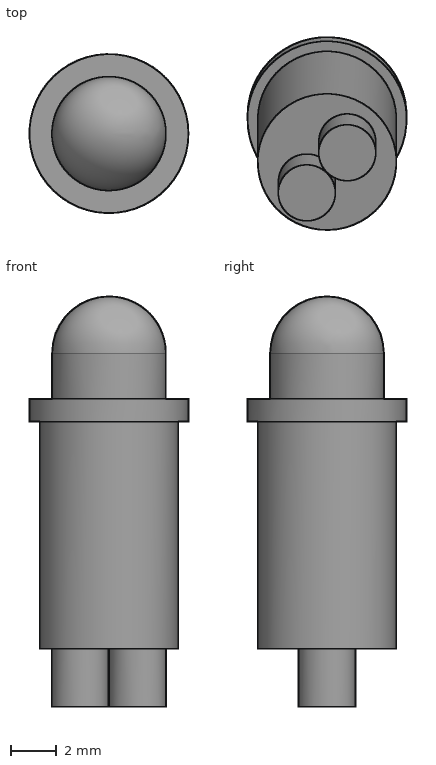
import cadquery as cq

total_height = 18.05
pin_length = 2.55
barrel_length = 10.0
flange_thickness = 1.0

barrel_diameter = 6.1
flange_diameter = 7.0
plunger_diameter = 5.02
pin_diameter = 2.5

pin_spacing = 2.53

barrel_bottom = pin_length
flange_bottom = barrel_bottom + barrel_length
flange_top = flange_bottom + flange_thickness
dome_radius = plunger_diameter / 2
dome_base = total_height - dome_radius


def upright_cylinder(diameter, bottom, top, x=0.0):
    """Vertical cylinder between two levels, centred at the given X."""
    return cq.Workplane("XY", origin=(x, 0, bottom)).circle(diameter / 2).extrude(top - bottom)


def make_housing():
    """Flanged barrel with two round pins at its lower end."""
    barrel = upright_cylinder(barrel_diameter, barrel_bottom, flange_bottom)
    flange = upright_cylinder(flange_diameter, flange_bottom, flange_top)
    body = barrel.union(flange)
    for side in (-1, 1):
        pin = upright_cylinder(pin_diameter, 0, barrel_bottom, side * pin_spacing / 2)
        body = body.union(pin)
    return body


def make_plunger():
    """Round plunger with a hemispherical tip, seated on the flange."""
    profile = (
        cq.Workplane("XZ")
        .moveTo(0, flange_top)
        .lineTo(dome_radius, flange_top)
        .lineTo(dome_radius, dome_base)
        .radiusArc((0, total_height), -dome_radius)
        .close()
    )
    return profile.revolve(360, (0, 0, 0), (0, 1, 0))


housing = make_housing()
plunger = make_plunger()

result = cq.Compound.makeCompound([housing.val(), plunger.val()])